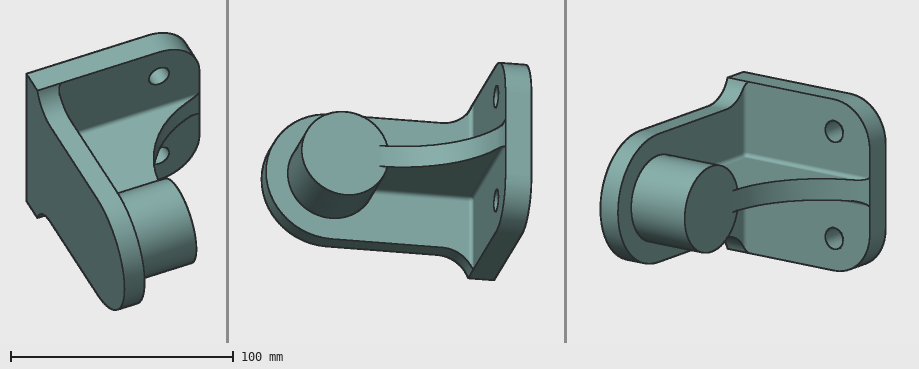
import cadquery as cq
import math

wall_side = 80.0
wall_thickness = 12.0
wall_corner_radius = 20.0
hole_diameter = 10.0
hole_y = 60.0
hole_spacing = 50.0

length = 107.0
arm_thickness = 10.0
arm_end_radius = 30.0
flare_radius = 15.0

boss_radius = 20.0
boss_top_y = 40.0
rib_thickness = 10.0
rib_arc_radius = 50.0

fillet_radius = 2.0

half_side = wall_side / 2
boss_x = length - arm_end_radius


def tangent_arc(radius, rise):
    """Run along the tangent, and rise at mid-arc, for an arc climbing by rise.

    Returns the run to the arc's end, then the run and rise to its middle.
    """
    angle = math.acos(1 - rise / radius)
    run = radius * math.sin(angle)
    return run, radius * math.sin(angle / 2), radius * (1 - math.cos(angle / 2))


def make_wall():
    wall = cq.Workplane("XY").box(wall_thickness, wall_side, wall_side, centered=(False, False, True))
    wall = wall.edges("|X and >Y").fillet(wall_corner_radius)
    holes = (
        cq.Workplane("YZ")
        .pushPoints([(hole_y, side * hole_spacing / 2) for side in (-1, 1)])
        .circle(hole_diameter / 2)
        .extrude(wall_thickness)
    )
    return wall.cut(holes)


def make_flared_slab(thickness):
    """Extrude the arm's outline, flared at the root and round at the end."""
    run, mid_run, mid_rise = tangent_arc(flare_radius, half_side - arm_end_radius)
    flare_end_x = wall_thickness + run
    flare_mid_x = flare_end_x - mid_run
    flare_mid_z = arm_end_radius + mid_rise
    return (
        cq.Workplane("XZ")
        .moveTo(0, -half_side)
        .lineTo(wall_thickness, -half_side)
        .threePointArc((flare_mid_x, -flare_mid_z), (flare_end_x, -arm_end_radius))
        .lineTo(boss_x, -arm_end_radius)
        .threePointArc((length, 0), (boss_x, arm_end_radius))
        .lineTo(flare_end_x, arm_end_radius)
        .threePointArc((flare_mid_x, flare_mid_z), (wall_thickness, half_side))
        .lineTo(0, half_side)
        .close()
        .extrude(-thickness)
    )


def make_boss():
    return cq.Workplane("XZ").center(boss_x, 0).circle(boss_radius).extrude(-boss_top_y)


def make_rib_slab(thickness):
    """Extrude the rib's outline, a concave arc from the wall top to the boss."""
    run, mid_run, mid_rise = tangent_arc(rib_arc_radius, wall_side - boss_top_y)
    arc_end_x = wall_thickness + run
    return (
        cq.Workplane("XY")
        .moveTo(wall_thickness, 0)
        .lineTo(boss_x, 0)
        .lineTo(boss_x, boss_top_y)
        .lineTo(arc_end_x, boss_top_y)
        .threePointArc((arc_end_x - mid_run, boss_top_y + mid_rise), (wall_thickness, wall_side))
        .close()
        .extrude(thickness / 2, both=True)
    )


def make_open_space():
    """Rounded block of empty space beside the rib, bounded by wall, arm and rib."""
    corner = (wall_thickness, arm_thickness, rib_thickness / 2)
    return (
        cq.Workplane("XY")
        .box(length, length, length, centered=False)
        .edges("(|X and <Y and <Z) or (|Y and <X and <Z) or (|Z and <X and <Y)")
        .fillet(fillet_radius)
        .translate(corner)
    )


def make_rounded_rib():
    """Rib and inside corner with concave fillets, hollowed out of thicker slabs."""
    corner_strip = (
        cq.Workplane("XY")
        .box(fillet_radius, fillet_radius, wall_side, centered=(False, False, True))
        .translate((wall_thickness, arm_thickness, 0))
        .intersect(make_flared_slab(arm_thickness + fillet_radius))
    )
    open_space = make_open_space()
    thick_rib = make_rib_slab(rib_thickness + 2 * fillet_radius)
    return thick_rib.union(corner_strip).cut(open_space).cut(open_space.mirror("XY"))


result = (
    make_wall()
    .union(make_flared_slab(arm_thickness))
    .union(make_rounded_rib())
    .union(make_boss())
)